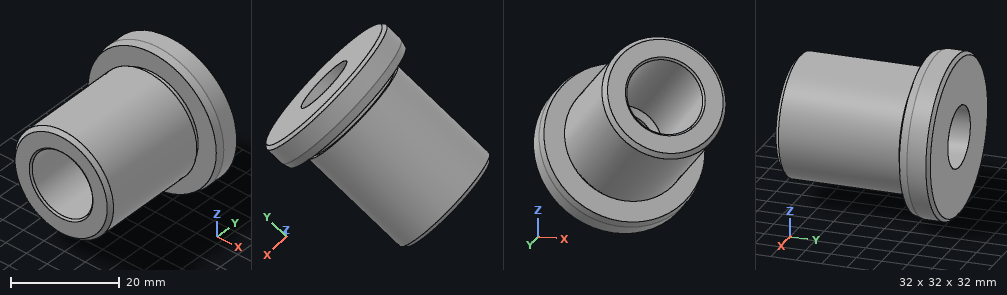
import cadquery as cq
import math

length = 32.0
flange_radius = length / 2
flange_width = 6.0
flange_rear_chamfer = 0.65
flange_taper_width = 1.63
flange_taper_angle = 15.0
flange_taper_drop = flange_taper_width * math.tan(math.radians(flange_taper_angle))

sleeve_radius = 12.0
sleeve_chamfer = 0.83

relief_width = 1.38
relief_depth = 0.83
relief_radius = sleeve_radius - relief_depth

bore_front_radius = 7.33
bore_rear_radius = 6.0
bore_chamfer = 0.4
bore_cone_angle = 60.0
bore_cone_length = (bore_front_radius - bore_rear_radius) / math.tan(math.radians(bore_cone_angle))

flange_start = length - flange_width
relief_start = flange_start - relief_width
flange_rim_start = flange_start + flange_taper_width
bore_cone_start = flange_start

half_section = [
    (bore_front_radius + bore_chamfer, 0),
    (sleeve_radius - sleeve_chamfer, 0),
    (sleeve_radius, sleeve_chamfer),
    (sleeve_radius, relief_start),
    (relief_radius, relief_start),
    (relief_radius, flange_start),
    (flange_radius - flange_taper_drop, flange_start),
    (flange_radius, flange_rim_start),
    (flange_radius, length - flange_rear_chamfer),
    (flange_radius - flange_rear_chamfer, length),
    (bore_rear_radius, length),
    (bore_rear_radius, bore_cone_start + bore_cone_length),
    (bore_front_radius, bore_cone_start),
    (bore_front_radius, bore_chamfer),
]

result = (
    cq.Workplane("XY")
    .polyline(half_section)
    .close()
    .revolve(360, (0, 0, 0), (0, 1, 0))
)